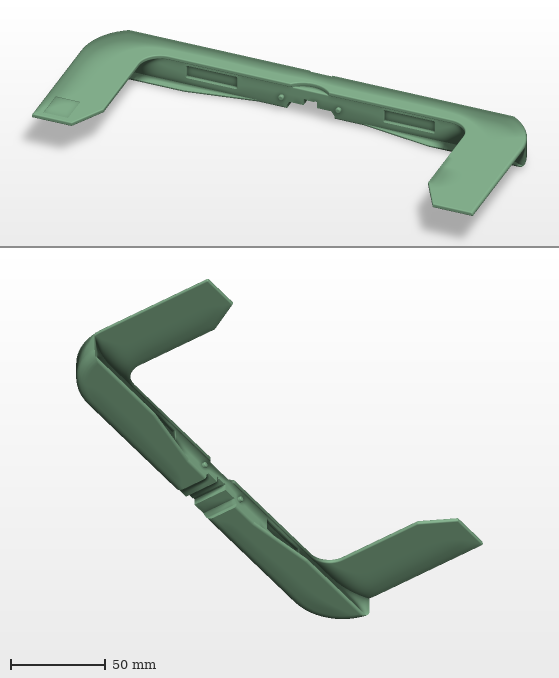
import cadquery as cq
import math

overall_width = 253.29
overall_depth = 100.75
overall_height = 17.0
half_width = overall_width / 2

plate_thickness = 2.4
bar_depth = 21.0
arm_width = 33.6
outer_corner_radius = 32.0
inner_corner_radius = 12.0
arm_tip_cut_width = 10.5
arm_tip_cut_length = 19.0
outer_rim_radius = 1.5
small_edge_radius = 0.7

wall_front = 20.2
end_depth = 27.4
wall_half_length = 100.5
bottom_edge_radius = 5.5
back_chamfer = 5.2

lip_thickness = 1.5
lip_depth = 26.4
lip_wide_from = 70.0
lip_narrow_to = 30.0
front_bottom_radius = 1.4

back_notch_start = 1.2
back_notch_end = 5.1
back_notch_width = 25.2
back_notch_floor = overall_height - back_chamfer + back_notch_start
side_notch_end = 3.7
side_notch_width = 12.4
side_notch_x = -84.2
bevel_width = 13.0
bevel_start = 4.0
bevel_end = 6.0
front_notch_width = 22.0
front_notch_length = 4.8

window_width = 29.8
window_height = 7.8
window_x = 56.7
window_z = 9.2
window_depth = 1.5
window_corner_radius = 1.0
window_rim_chamfer = 0.4

opening_bottom_width = 27.5
opening_top_width = 24.0
opening_straight_height = 2.3
opening_height = 4.8
slot_width = 7.8
slot_top = 8.7
slot_rib_width = 4.6
slot_rib_height = 0.5

label_width = 14.1
label_length = 17.0
label_side_margin = 5.4
label_end_margin = 3.6
label_depth = 0.3

pin_diameter = 3.5
pin_tip_diameter = 3.0
pin_x = 16.4
pin_z = 7.0
pin_depth = 5.0
pin_projection = 1.9
pin_tip_rounding = 0.6

plate_bottom = overall_height - plate_thickness
front_notch_floor = plate_bottom
inner_half_width = half_width - arm_width


def corner_midpoint(x_sign, centre_x, centre_y, radius):
    """Middle of a 90 degree arc that bulges towards the back and to the given side."""
    reach = radius * math.sqrt(0.5)
    return x_sign * (centre_x + reach), centre_y + reach


def make_plate():
    corner_x = half_width - outer_corner_radius
    inner_x = inner_half_width - inner_corner_radius
    inner_y = -bar_depth - inner_corner_radius
    tip_y = -overall_depth
    cut_y = tip_y + arm_tip_cut_length
    cut_x = inner_half_width + arm_tip_cut_width
    plate = (
        cq.Workplane("XY", origin=(0, 0, plate_bottom))
        .moveTo(-corner_x, 0)
        .lineTo(corner_x, 0)
        .threePointArc(
            corner_midpoint(1, corner_x, -outer_corner_radius, outer_corner_radius),
            (half_width, -outer_corner_radius),
        )
        .lineTo(half_width, tip_y)
        .lineTo(cut_x, tip_y)
        .lineTo(inner_half_width, cut_y)
        .lineTo(inner_half_width, inner_y)
        .threePointArc(corner_midpoint(1, inner_x, inner_y, inner_corner_radius), (inner_x, -bar_depth))
        .lineTo(front_notch_width / 2, -bar_depth)
        .threePointArc((0, front_notch_length - bar_depth), (-front_notch_width / 2, -bar_depth))
        .lineTo(-inner_x, -bar_depth)
        .threePointArc(
            corner_midpoint(-1, inner_x, inner_y, inner_corner_radius), (-inner_half_width, inner_y)
        )
        .lineTo(-inner_half_width, cut_y)
        .lineTo(-cut_x, tip_y)
        .lineTo(-half_width, tip_y)
        .lineTo(-half_width, -outer_corner_radius)
        .threePointArc(
            corner_midpoint(-1, corner_x, -outer_corner_radius, outer_corner_radius), (-corner_x, 0)
        )
        .close()
        .extrude(plate_thickness)
    )
    plate = plate.faces(">Z").edges(">Y").fillet(outer_rim_radius)
    front_edges = cq.selectors.BoxSelector(
        (-half_width + 2 * outer_rim_radius, -overall_depth - 1, overall_height - small_edge_radius),
        (half_width - 2 * outer_rim_radius, -bar_depth / 2, overall_height + small_edge_radius),
    )
    plate = plate.edges(front_edges).fillet(small_edge_radius)
    return plate.faces("<Z").edges().fillet(small_edge_radius)


def end_arc_midpoint(x_sign):
    """Point halfway round the arc that leaves the wall tangentially and ends at the side."""
    run = half_width - wall_half_length
    rise = end_depth - wall_front
    radius = (run**2 + rise**2) / (2 * rise)
    half_angle = math.asin(run / radius) / 2
    x = wall_half_length + radius * math.sin(half_angle)
    y = -wall_front - radius * (1 - math.cos(half_angle))
    return x_sign * x, y


def make_wall_plan(height):
    """Plan of the wall: straight in the middle, sweeping forward to both ends in hollow arcs."""
    return (
        cq.Workplane("XY")
        .moveTo(-half_width, 0)
        .lineTo(half_width, 0)
        .lineTo(half_width, -end_depth)
        .threePointArc(end_arc_midpoint(1), (wall_half_length, -wall_front))
        .lineTo(-wall_half_length, -wall_front)
        .threePointArc(end_arc_midpoint(-1), (-half_width, -end_depth))
        .close()
        .extrude(height)
    )


def make_lip():
    return (
        cq.Workplane("XY")
        .polyline(
            [
                (-half_width, 0),
                (half_width, 0),
                (half_width, -lip_depth),
                (lip_wide_from, -lip_depth),
                (lip_narrow_to, -wall_front),
                (-lip_narrow_to, -wall_front),
                (-lip_wide_from, -lip_depth),
                (-half_width, -lip_depth),
            ]
        )
        .close()
        .extrude(lip_thickness)
    )


def make_bar():
    bar_height = plate_bottom + small_edge_radius
    envelope_depth = 2 * outer_corner_radius
    envelope = (
        cq.Workplane("XY")
        .box(overall_width, envelope_depth, bar_height, centered=(True, False, False))
        .translate((0, -envelope_depth, 0))
        .edges("|Z and >Y")
        .fillet(outer_corner_radius)
        .faces("<Z")
        .edges(">Y")
        .fillet(bottom_edge_radius)
    )
    front_edges = cq.selectors.BoxSelector(
        (-half_width + 1, -end_depth, -lip_thickness / 2),
        (half_width - 1, -wall_front / 2, lip_thickness / 2),
    )
    front = make_wall_plan(bar_height).union(make_lip())
    front = front.edges(front_edges).fillet(front_bottom_radius)
    return envelope.intersect(front)


def make_back_chamfer():
    """Triangular bar that bevels the back upper edge at 45 degrees."""
    return (
        cq.Workplane("YZ", origin=(-half_width, 0, 0))
        .polyline(
            [
                (0, overall_height - back_chamfer),
                (0, overall_height),
                (-back_chamfer, overall_height),
            ]
        )
        .close()
        .extrude(overall_width)
    )


def make_notch(x, chord_y, apex_y, width, floor_z):
    """Finger notch, open to the top, bounded in plan by an arc and its chord."""
    return (
        cq.Workplane("XY", origin=(x, 0, floor_z))
        .moveTo(-width / 2, chord_y)
        .threePointArc((0, apex_y), (width / 2, chord_y))
        .close()
        .extrude(overall_height - floor_z)
    )


def make_notch_bevel():
    """45 degree bevel on the upper rim of the back notch."""
    return (
        cq.Workplane("YZ", origin=(-bevel_width / 2, 0, 0))
        .polyline(
            [
                (-bevel_start, overall_height),
                (-bevel_end, overall_height),
                (-bevel_start, overall_height - (bevel_end - bevel_start)),
            ]
        )
        .close()
        .extrude(bevel_width)
    )


def make_window(x):
    """Round-cornered recess that narrows along a chamfered rim."""
    outline = (
        cq.Sketch().rect(window_width, window_height).vertices().fillet(window_corner_radius).reset()
    )
    mouth = cq.Workplane("XZ", origin=(x, -wall_front, window_z)).placeSketch(outline)
    rim = mouth.extrude(-window_rim_chamfer, taper=45)
    return rim.faces(">Y").wires().toPending().extrude(-window_depth).union(rim)


def make_opening():
    half_bottom = opening_bottom_width / 2
    half_top = opening_top_width / 2
    half_slot = slot_width / 2
    half_rib = slot_rib_width / 2
    return (
        cq.Workplane("XZ")
        .polyline(
            [
                (-half_bottom, 0),
                (-half_bottom, opening_straight_height),
                (-half_top, opening_height),
                (-half_slot, opening_height),
                (-half_slot, slot_top),
                (-half_rib, slot_top),
                (-half_rib, slot_top - slot_rib_height),
                (half_rib, slot_top - slot_rib_height),
                (half_rib, slot_top),
                (half_slot, slot_top),
                (half_slot, opening_height),
                (half_top, opening_height),
                (half_bottom, opening_straight_height),
                (half_bottom, 0),
            ]
        )
        .close()
        .extrude(bar_depth)
    )


def make_label_recess():
    return (
        cq.Workplane("XY")
        .box(label_width, label_length, label_depth, centered=False)
        .translate(
            (
                -half_width + label_side_margin,
                -overall_depth + label_end_margin,
                overall_height - label_depth,
            )
        )
    )


def make_pin(x):
    """Shank sunk flush into the wall, with a slimmer tip standing out of it."""
    return (
        cq.Workplane("XZ", origin=(x, -wall_front + pin_depth, pin_z))
        .circle(pin_diameter / 2)
        .extrude(pin_depth)
        .faces("<Y")
        .workplane()
        .circle(pin_tip_diameter / 2)
        .extrude(pin_projection)
        .faces("<Y")
        .edges()
        .fillet(pin_tip_rounding)
    )


pins = [make_pin(x) for x in (-pin_x, pin_x)]

housing = make_plate().union(make_bar()).cut(make_back_chamfer())

housing = (
    housing.cut(make_notch(0, -back_notch_start, -back_notch_end, back_notch_width, back_notch_floor))
    .cut(make_notch_bevel())
    .cut(make_notch(side_notch_x, -back_notch_start, -side_notch_end, side_notch_width, back_notch_floor))
    .cut(make_notch(0, -bar_depth, front_notch_length - bar_depth, front_notch_width, front_notch_floor))
)
front_sill = cq.selectors.NearestToPointSelector((0, -wall_front, front_notch_floor))
housing = housing.edges(front_sill).fillet(small_edge_radius)

for x in (-window_x, window_x):
    housing = housing.cut(make_window(x))
housing = housing.cut(make_opening()).cut(make_label_recess())

for pin in pins:
    housing = housing.cut(pin)

result = cq.Compound.makeCompound([housing.val()] + [pin.val() for pin in pins])